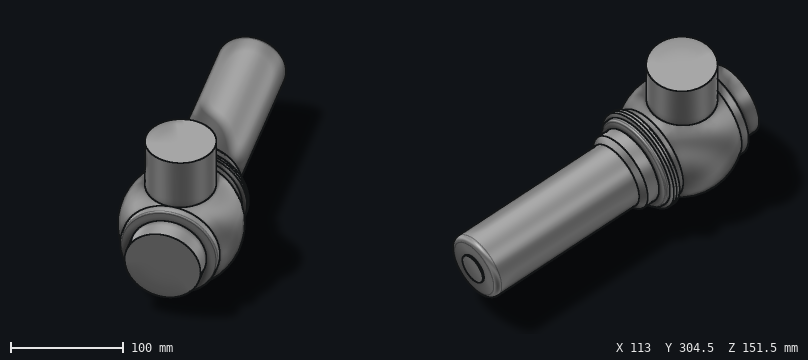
import cadquery as cq
import math

OVERALL_LENGTH = 304.5

STUB_DIAMETER = 70.0
BODY_DIAMETER = 90.0
BODY_FACE_Y = 20.0
BODY_EDGE_FILLET = 1.5
SPHERE_DIAMETER = 113.0
SPHERE_Y = 63.0
PORT_DIAMETER = 63.5
PORT_Y = 60.5
PORT_TOP_Z = 95.0

JOINT_Y = 108.0
RIM_DIAMETER = 98.0
RIM_HALF_WIDTH = 3.25
RIM_TAPER_WIDTH = 1.25

COVER_TOP_Y = 117.0
COVER_EDGE_FILLET = 2.0
NECK_DIAMETER = 67.0
COLLAR_DIAMETER = 75.0
COLLAR_START_Y = 119.0
COLLAR_END_Y = 137.5
TUBE_DIAMETER = 64.0
TUBE_END_FILLET = 5.0
END_DISC_DIAMETER = 28.0
END_DISC_HEIGHT = 1.5

RIM_TAPER_OFFSET = RIM_HALF_WIDTH + RIM_TAPER_WIDTH
FILLET_MID = math.sqrt(0.5)


def cylinder(diameter, y_start, y_end):
    """Solid cylinder along Y between two stations."""
    return cq.Workplane("XZ", origin=(0, y_start, 0)).circle(diameter / 2).extrude(y_start - y_end)


def revolve_about_y(profile):
    """Turn a closed half profile in the XY plane about the Y axis."""
    return profile.close().revolve(360, (0, 0, 0), (0, 1, 0))


def make_housing():
    """Ball-shaped housing with inlet stub, top port and its half of the flange."""
    stub_radius = STUB_DIAMETER / 2
    body_radius = BODY_DIAMETER / 2
    rim_radius = RIM_DIAMETER / 2
    sphere_radius = SPHERE_DIAMETER / 2
    sphere_half_chord = math.sqrt(sphere_radius**2 - body_radius**2)
    fillet_centre_x = body_radius - BODY_EDGE_FILLET
    fillet_centre_y = BODY_FACE_Y + BODY_EDGE_FILLET
    fillet_mid_offset = BODY_EDGE_FILLET * FILLET_MID

    profile = (
        cq.Workplane("XY")
        .lineTo(stub_radius, 0)
        .lineTo(stub_radius, BODY_FACE_Y)
        .lineTo(fillet_centre_x, BODY_FACE_Y)
        .threePointArc(
            (fillet_centre_x + fillet_mid_offset, fillet_centre_y - fillet_mid_offset),
            (body_radius, fillet_centre_y),
        )
        .lineTo(body_radius, SPHERE_Y - sphere_half_chord)
        .threePointArc((sphere_radius, SPHERE_Y), (body_radius, SPHERE_Y + sphere_half_chord))
        .lineTo(body_radius, JOINT_Y - RIM_TAPER_OFFSET)
        .lineTo(rim_radius, JOINT_Y - RIM_HALF_WIDTH)
        .lineTo(rim_radius, JOINT_Y)
        .lineTo(0, JOINT_Y)
    )
    port = cq.Workplane("XY", origin=(0, PORT_Y, 0)).circle(PORT_DIAMETER / 2).extrude(PORT_TOP_Z)
    return revolve_about_y(profile).union(port)


def make_tube_unit():
    """Flanged cover with neck, collar and long tube closed by a raised end disc."""
    cover_radius = BODY_DIAMETER / 2
    rim_radius = RIM_DIAMETER / 2
    neck_radius = NECK_DIAMETER / 2
    collar_radius = COLLAR_DIAMETER / 2
    tube_radius = TUBE_DIAMETER / 2
    collar_chamfer = collar_radius - tube_radius
    tube_end_y = OVERALL_LENGTH - END_DISC_HEIGHT

    cover_fillet_x = cover_radius - COVER_EDGE_FILLET
    cover_fillet_y = COVER_TOP_Y - COVER_EDGE_FILLET
    cover_mid_offset = COVER_EDGE_FILLET * FILLET_MID
    tube_fillet_x = tube_radius - TUBE_END_FILLET
    tube_fillet_y = tube_end_y - TUBE_END_FILLET
    tube_mid_offset = TUBE_END_FILLET * FILLET_MID

    profile = (
        cq.Workplane("XY")
        .moveTo(0, JOINT_Y)
        .lineTo(rim_radius, JOINT_Y)
        .lineTo(rim_radius, JOINT_Y + RIM_HALF_WIDTH)
        .lineTo(cover_radius, JOINT_Y + RIM_TAPER_OFFSET)
        .lineTo(cover_radius, cover_fillet_y)
        .threePointArc(
            (cover_fillet_x + cover_mid_offset, cover_fillet_y + cover_mid_offset),
            (cover_fillet_x, COVER_TOP_Y),
        )
        .lineTo(neck_radius, COVER_TOP_Y)
        .lineTo(neck_radius, COLLAR_START_Y)
        .lineTo(collar_radius, COLLAR_START_Y)
        .lineTo(collar_radius, COLLAR_END_Y - collar_chamfer)
        .lineTo(tube_radius, COLLAR_END_Y)
        .lineTo(tube_radius, tube_fillet_y)
        .threePointArc(
            (tube_fillet_x + tube_mid_offset, tube_fillet_y + tube_mid_offset),
            (tube_fillet_x, tube_end_y),
        )
        .lineTo(0, tube_end_y)
    )
    end_disc = cylinder(END_DISC_DIAMETER, tube_end_y, OVERALL_LENGTH)
    return revolve_about_y(profile).union(end_disc)


housing = make_housing()
tube_unit = make_tube_unit()

result = cq.Compound.makeCompound([housing.val(), tube_unit.val()])